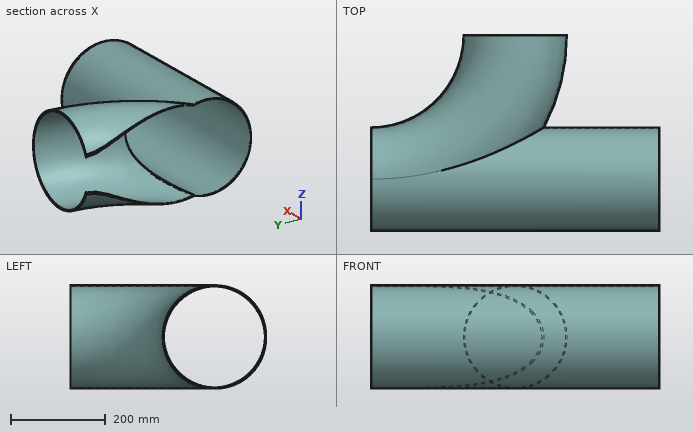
import cadquery as cq

outer_diameter = 219.1
wall = 2.6
run_length = 610.0
bend_radius = 305.0

outer_radius = outer_diameter / 2
inner_radius = outer_radius - wall


def pipe_section():
    """Ring profile at the start of the run, centred on the X axis."""
    return cq.Workplane("YZ").circle(outer_radius).circle(inner_radius)


def straight_run():
    return pipe_section().extrude(run_length)


def elbow():
    """Quarter bend leaving along +X at the origin and turning to +Y."""
    bend_center = (bend_radius, 0)
    axis_end = (bend_radius, 1)
    return pipe_section().revolve(90, bend_center, axis_end)


def elbow_side():
    """Space on the elbow's side of the seam.

    A run and an elbow of equal diameter meet on the parabola
    y = x^2 / (4 * bend_radius), for the outer and the inner skin alike.
    A quadratic Bezier curve follows that parabola exactly.
    """
    seam = [(0, 0), (bend_radius, 0), (2 * bend_radius, bend_radius)]
    return (
        cq.Workplane("XY")
        .moveTo(*seam[0])
        .bezier(seam)
        .lineTo(0, bend_radius)
        .close()
        .extrude(outer_diameter, both=True)
    )


trimmed_run = straight_run().cut(elbow_side())
trimmed_elbow = elbow().intersect(elbow_side())
result = trimmed_run.union(trimmed_elbow)